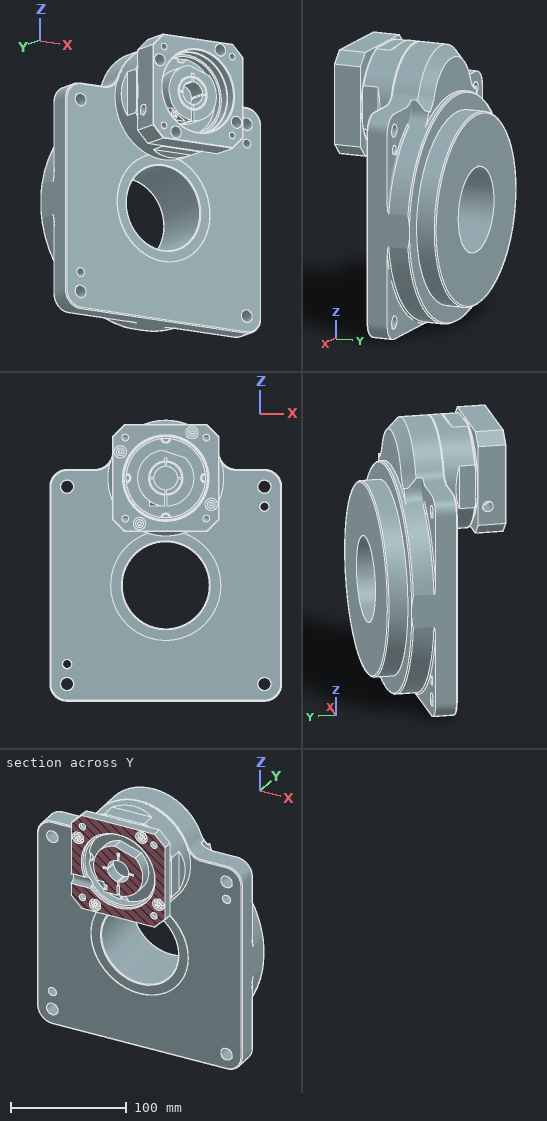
import cadquery as cq
import math


plate_size = 200.0
plate_half = plate_size / 2
plate_thick = 19.5
plate_corner_radius = 15.0
plate_edge_chamfer = 1.0

lobe_radius = 50.0
lobe_top = 242.5 - plate_half
lobe_center_z = lobe_top - lobe_radius
lobe_blend_radius = 15.0
lobe_back = 36.0
lobe_taper_start = 25.2
lobe_taper_inset = 9.7

body_disc_radius = 101.1
body_disc_back = 40.5
body_rim_length = 1.5
body_rim_inset = 1.0
body_root_fillet = 1.5

table_radius = 85.0
table_back = 58.5
table_edge_chamfer = 1.2

bore_radius = 37.5
bore_chamfer = 0.7
ring_recess_radius = 47.5
ring_recess_depth = 0.5

hole_offset = 85.0
mount_hole_radius = 5.5
dowel_hole_radius = 4.0
dowel_offset = 68.0

neck_collar_length = 10.0
neck_length = 28.1
neck_edge_chamfer = 1.0
neck_flat_start = 13.8
groove_radius = 44.5
flange_back = 30.3
flange_front = 55.0
flange_half = 46.0
flange_corner = 10.5
flange_edge_chamfer = 0.5

corner_hole_offset = 35.0
corner_hole_radius = 3.0
corner_hole_depth = 19.5
drill_point_angle = 118
screw_circle_radius = 45.3
screw_first_angle = 60
screw_bore_radius = 5.3
screw_bore_depth = 19.5
screw_head_radius = 3.5
screw_head_height = 4.8
screw_socket_width = 3.5
screw_socket_depth = 2.5
screw_drill_radius = 1.5

pilot_radius = 36.5
pilot_depth = 10.0
pilot_chamfer = 0.7
middle_radius = 36.0
middle_depth = 19.0
cavity_radius = 34.2
cavity_depth = 26.7
scallop_radius = 4.1
scallop_depth = 2.5
scallop_floor_radius = 3.2

hub_radius = 24.2
hub_face = 46.3
hub_flat_distance = 21.8
hub_flat_angle = 72
hub_slit_width = 2.2
hub_notch_radius = 17.5
sleeve_radius = 14.8
sleeve_bore_radius = 10.2
sleeve_gap = 1.0
sleeve_gap_depth = 2.5
sleeve_slit_width = 1.2
clamp_y = -39.0
clamp_drop = 19.2
clamp_head_radius = 4.8
clamp_head_end = 14.0
clamp_socket_width = 4.8
clamp_socket_depth = 3.0
access_radius = 4.5


def xz_plane(y):
    """Plane facing +Y at depth y; local x is +X and local y is -Z."""
    return cq.Workplane(cq.Plane((0, y, 0), (1, 0, 0), (0, 1, 0)))


def cylinder(radius, y_start, y_end, x=0, z=0):
    """Cylinder along Y between two depths."""
    axis_start = cq.Vector(x, y_start, z)
    return cq.Workplane(cq.Solid.makeCylinder(radius, y_end - y_start, axis_start, cq.Vector(0, 1, 0)))


def drill_point(radius, y_start, x, z):
    """Conical end of a blind drilled hole."""
    height = radius / math.tan(math.radians(drill_point_angle / 2))
    return cq.Workplane(cq.Solid.makeCone(radius, 0, height, cq.Vector(x, y_start, z), cq.Vector(0, 1, 0)))


def revolve_profile(points):
    """Solid of revolution about the Y axis from (radius, y) points."""
    profile = cq.Workplane("XY").polyline(points).close()
    return profile.revolve(360, (0, 0), (0, 1))


def block(x_min, x_max, y_min, y_max, z_min, z_max):
    """Axis-aligned box between its limits."""
    size = (x_max - x_min, y_max - y_min, z_max - z_min)
    return cq.Workplane("XY").box(*size, centered=False).translate((x_min, y_min, z_min))



def lobe_outline():
    """Lobe outline with its blends into the top of the plate, closed well inside the plate."""
    blend_z = plate_half + lobe_blend_radius
    reach = lobe_radius + lobe_blend_radius
    blend_x = math.sqrt(reach**2 - (blend_z - lobe_center_z) ** 2)
    touch_x = blend_x * lobe_radius / reach
    touch_z = lobe_center_z + (blend_z - lobe_center_z) * lobe_radius / reach
    touch_angle = math.atan2(touch_z - blend_z, touch_x - blend_x) % (2 * math.pi)
    middle_angle = (touch_angle + 1.5 * math.pi) / 2
    middle_x = blend_x + lobe_blend_radius * math.cos(middle_angle)
    middle_z = blend_z + lobe_blend_radius * math.sin(middle_angle)
    base_z = plate_half / 2
    return (
        xz_plane(0)
        .moveTo(-blend_x, -base_z)
        .lineTo(-blend_x, -plate_half)
        .threePointArc((-middle_x, -middle_z), (-touch_x, -touch_z))
        .threePointArc((0, -lobe_top), (touch_x, -touch_z))
        .threePointArc((middle_x, -middle_z), (blend_x, -plate_half))
        .lineTo(blend_x, -base_z)
        .close()
    )


def make_plate():
    """Square plate and lobe outline with a chamfered front edge."""
    plate = xz_plane(0).rect(plate_size, plate_size).extrude(plate_thick)
    plate = plate.edges("|Y").fillet(plate_corner_radius)
    plate = plate.union(lobe_outline().extrude(plate_thick))
    return plate.faces("<Y").chamfer(plate_edge_chamfer)


def make_lobe():
    """Part of the lobe behind the plate: parallel sides and a tapered back edge."""
    taper_length = lobe_back - lobe_taper_start
    taper_angle = math.degrees(math.atan2(lobe_taper_inset, taper_length))
    lobe = lobe_outline().extrude(lobe_taper_start).faces(">Y").wires().toPending()
    lobe = lobe.extrude(taper_length, taper=taper_angle)
    return lobe.intersect(block(-lobe_radius, lobe_radius, plate_thick, lobe_back, 0, lobe_top))


def make_lobe_root(side):
    """Concave blend between a side of the lobe and the body disc."""
    blend_x = lobe_radius + lobe_blend_radius
    reach = body_disc_radius + lobe_blend_radius
    blend_z = math.sqrt(reach**2 - blend_x**2)
    disc_x = blend_x * body_disc_radius / reach
    disc_z = blend_z * body_disc_radius / reach
    disc_angle = math.atan2(disc_z - blend_z, disc_x - blend_x) % (2 * math.pi)
    middle_angle = (math.pi + disc_angle) / 2
    middle_x = blend_x + lobe_blend_radius * math.cos(middle_angle)
    middle_z = blend_z + lobe_blend_radius * math.sin(middle_angle)
    inner_x = lobe_radius / 2
    return (
        xz_plane(plate_thick)
        .moveTo(side * lobe_radius, -blend_z)
        .threePointArc((side * middle_x, -middle_z), (side * disc_x, -disc_z))
        .lineTo(side * inner_x, -disc_z)
        .close()
        .extrude(lobe_back - plate_thick)
    )


def make_body_disc():
    """Round body behind the plate, trimmed flush with the plate sides."""
    disc = revolve_profile([
        (0, plate_thick),
        (body_disc_radius, plate_thick),
        (body_disc_radius, body_disc_back - body_rim_length),
        (body_disc_radius - body_rim_inset, body_disc_back),
        (0, body_disc_back),
    ])
    return disc.intersect(block(-plate_half, plate_half, 0, body_disc_back, -plate_half, body_disc_radius))


def fillet_body_root(housing):
    """Round the inside corner between the plate and the walls of the body disc and lobe."""
    step = cq.selectors.BoxSelector(
        (-plate_size, plate_thick - body_root_fillet / 2, -plate_size),
        (plate_size, plate_thick + body_root_fillet / 2, plate_size),
    )

    def is_root(edge):
        center = edge.Center()
        if edge.geomType() == "LINE":
            return math.isclose(abs(center.x), lobe_radius)
        if math.isclose(edge.radius(), body_disc_radius):
            return True
        is_lobe_root = abs(center.x) < body_disc_radius * math.sin(math.pi / 4)
        return is_lobe_root and 0 < center.z < plate_half

    return housing.edges(step).filter(is_root).fillet(body_root_fillet)


def make_housing():
    """Plate, body disc, lobe and round table with the hollow bore and mounting holes."""
    table = cylinder(table_radius, body_disc_back, table_back).faces(">Y").chamfer(table_edge_chamfer)
    housing = make_plate().union(make_body_disc()).union(make_lobe())
    for side in (-1, 1):
        housing = housing.union(make_lobe_root(side))
    housing = fillet_body_root(housing).union(table)

    recess_floor = ring_recess_depth
    housing = housing.cut(cylinder(ring_recess_radius, 0, recess_floor))
    housing = housing.cut(revolve_profile([
        (0, recess_floor),
        (bore_radius + bore_chamfer, recess_floor),
        (bore_radius, recess_floor + bore_chamfer),
        (bore_radius, table_back),
        (0, table_back),
    ]))
    for x_side in (-1, 1):
        for z_side in (-1, 1):
            hole = cylinder(mount_hole_radius, 0, plate_thick, x_side * hole_offset, z_side * hole_offset)
            housing = housing.cut(hole)
    for side in (-1, 1):
        housing = housing.cut(cylinder(dowel_hole_radius, 0, plate_thick, side * hole_offset, side * dowel_offset))
    return housing



def make_neck():
    """Round neck with four wrench flats level with the flange sides, and a groove behind the flange."""
    neck = cylinder(lobe_radius, -neck_length, 0).faces("<Y").chamfer(neck_edge_chamfer)
    neck = neck.union(cylinder(groove_radius, -flange_back, -neck_length))
    flat_cut = (
        cq.Workplane("YZ")
        .polyline([
            (-neck_length, flange_half),
            (-neck_flat_start, flange_half),
            (-neck_collar_length, lobe_radius),
            (-neck_length, lobe_radius),
        ])
        .close()
        .extrude(lobe_radius, both=True)
    )
    for quarter in range(4):
        neck = neck.cut(flat_cut.rotate((0, 0, 0), (0, 1, 0), 90 * quarter))
    return neck


def make_flange():
    """Square motor flange with cut corners and four blind corner holes."""
    flange = xz_plane(-flange_front).rect(2 * flange_half, 2 * flange_half).extrude(flange_front - flange_back)
    flange = flange.edges("|Y").chamfer(flange_corner)
    flange = flange.faces("<Y").chamfer(flange_edge_chamfer)
    for x_side in (-1, 1):
        for z_side in (-1, 1):
            x = x_side * corner_hole_offset
            z = z_side * corner_hole_offset
            floor = corner_hole_depth - flange_front
            flange = flange.cut(cylinder(corner_hole_radius, -flange_front, floor, x, z))
            flange = flange.cut(drill_point(corner_hole_radius, floor, x, z))
    return flange


def make_screw_pocket(angle):
    """Space around a sunken socket-head screw in the flange."""
    x = screw_circle_radius * math.cos(math.radians(angle))
    z = screw_circle_radius * math.sin(math.radians(angle))
    floor = screw_bore_depth - flange_front
    head_top = floor - screw_head_height
    pocket = cylinder(screw_bore_radius, -flange_front, floor, x, z)
    pocket = pocket.cut(cylinder(screw_head_radius, head_top, floor, x, z))
    socket = xz_plane(head_top).center(x, -z).polygon(6, screw_socket_width).extrude(screw_socket_depth)
    point = drill_point(screw_drill_radius, head_top + screw_socket_depth, x, z)
    return pocket.union(socket).union(point)


def make_cavity():
    """Stepped motor pilot bore with four tapered scallops in its floor."""
    floor = cavity_depth - flange_front
    cavity = revolve_profile([
        (0, -flange_front),
        (pilot_radius + pilot_chamfer, -flange_front),
        (pilot_radius, pilot_chamfer - flange_front),
        (pilot_radius, pilot_depth - flange_front),
        (middle_radius, pilot_depth - flange_front),
        (middle_radius, middle_depth - flange_front),
        (cavity_radius, middle_depth - flange_front),
        (cavity_radius, floor),
        (0, floor),
    ])
    cavity_core = cylinder(cavity_radius, floor, floor + scallop_depth)
    scallop_start = cq.Vector(cavity_radius, floor, 0)
    scallop_cone = cq.Solid.makeCone(
        scallop_radius, scallop_floor_radius, scallop_depth, scallop_start, cq.Vector(0, 1, 0)
    )
    scallop = cq.Workplane(scallop_cone).intersect(cavity_core)
    for quarter in range(4):
        cavity = cavity.union(scallop.rotate((0, 0, 0), (0, 1, 0), 90 * quarter))
    return cavity


def make_hub():
    """Split clamping hub with a slotted sleeve and a cross screw."""
    floor = cavity_depth - flange_front
    hub = cylinder(hub_radius, -hub_face, floor)
    flat = block(hub_flat_distance, 2 * hub_radius, -hub_face, floor, -hub_radius, hub_radius)
    hub = hub.cut(flat.rotate((0, 0, 0), (0, 1, 0), -hub_flat_angle))

    axis = cq.Vector(1, 0, 0)
    head_start = cq.Vector(-clamp_head_end, clamp_y, -clamp_drop)
    seat_start = cq.Vector(-hub_radius, clamp_y, -clamp_drop)
    seat = cq.Solid.makeCylinder(clamp_head_radius, hub_radius - clamp_head_end, seat_start, axis)
    head = cq.Solid.makeCylinder(clamp_head_radius, clamp_head_end, head_start, axis)
    hub = hub.cut(cq.Workplane(seat)).union(cq.Workplane(head))
    socket_plane = cq.Plane(head_start.toTuple(), (0, 1, 0), (1, 0, 0))
    hub = hub.cut(cq.Workplane(socket_plane).polygon(6, clamp_socket_width).extrude(clamp_socket_depth))

    half_slit = hub_slit_width / 2
    hub = hub.cut(block(-half_slit, half_slit, -hub_face, floor, -hub_radius, -sleeve_radius))
    hub = hub.cut(block(-half_slit, half_slit, -hub_face, floor, sleeve_radius, hub_notch_radius))
    gap = cylinder(sleeve_radius, -hub_face, sleeve_gap_depth - hub_face)
    hub = hub.cut(gap.cut(cylinder(sleeve_radius - sleeve_gap, -hub_face, sleeve_gap_depth - hub_face)))
    half_slot = sleeve_slit_width / 2
    hub = hub.cut(block(-half_slot, half_slot, -hub_face, floor, -sleeve_radius, sleeve_radius))
    hub = hub.cut(block(-sleeve_radius, sleeve_radius, -hub_face, floor, -half_slot, half_slot))
    return hub.cut(cylinder(sleeve_bore_radius, -hub_face, floor))


def make_reducer():
    """Neck, flange and hub joined into one solid on the lobe axis."""
    reducer = make_neck().union(make_flange())
    for quarter in range(4):
        reducer = reducer.cut(make_screw_pocket(screw_first_angle + 90 * quarter))
    reducer = reducer.cut(make_cavity())
    access_start = cq.Vector(-flange_half, clamp_y, -clamp_drop)
    access_length = flange_half - cavity_radius / 2
    access = cq.Solid.makeCylinder(access_radius, access_length, access_start, cq.Vector(1, 0, 0))
    reducer = reducer.cut(cq.Workplane(access))
    reducer = reducer.union(make_hub())
    return reducer.translate((0, 0, lobe_center_z))


housing = make_housing()
reducer = make_reducer()
result = cq.Compound.makeCompound([housing.solids().val(), reducer.solids().val()])